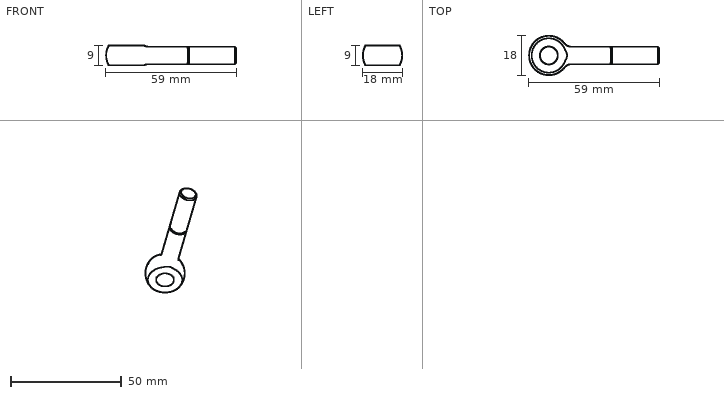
import cadquery as cq
import math

total_length = 59.0
ball_diameter = 18.0
eye_thickness = 9.0
hole_diameter = 8.0
shank_diameter = 8.0
neck_radius = 4.0
groove_start = 37.0
groove_width = 0.7
groove_depth = 0.7
end_chamfer = 0.65

ball_radius = ball_diameter / 2
shank_radius = shank_diameter / 2
ball_x = ball_radius - total_length / 2
shank_end_x = total_length / 2
groove_x = groove_start - total_length / 2
groove_end_x = groove_x + groove_width
groove_floor_radius = shank_radius - groove_depth

neck_center_y = shank_radius + neck_radius
center_distance = ball_radius + neck_radius
neck_angle = math.asin(neck_center_y / center_distance)
neck_center_x = ball_x + center_distance * math.cos(neck_angle)
neck_mid_angle = (neck_angle + math.pi / 2) / 2


def ball_point(angle):
    """Point on the ball outline, with the angle measured from +X."""
    return (ball_x + ball_radius * math.cos(angle), ball_radius * math.sin(angle))


def neck_point(angle):
    """Point on the neck arc, with the angle measured from the -X side towards the axis."""
    return (
        neck_center_x - neck_radius * math.cos(angle),
        neck_center_y - neck_radius * math.sin(angle),
    )


def turned_body():
    """Ball, neck, grooved shank and chamfered tip revolved about X."""
    return (
        cq.Workplane("XY")
        .moveTo(*ball_point(math.pi))
        .threePointArc(ball_point(math.pi / 2), ball_point(neck_angle))
        .threePointArc(neck_point(neck_mid_angle), neck_point(math.pi / 2))
        .lineTo(groove_x, shank_radius)
        .lineTo(groove_x, groove_floor_radius)
        .lineTo(groove_end_x, shank_radius)
        .lineTo(shank_end_x - end_chamfer, shank_radius)
        .lineTo(shank_end_x, shank_radius - end_chamfer)
        .lineTo(shank_end_x, 0)
        .close()
        .revolve(360, (0, 0, 0), (1, 0, 0))
    )


flat_slab = cq.Workplane("XY").box(total_length, ball_diameter, eye_thickness)
eye_hole = cq.Workplane("XY").center(ball_x, 0).circle(hole_diameter / 2).extrude(eye_thickness, both=True)

result = turned_body().intersect(flat_slab).cut(eye_hole)